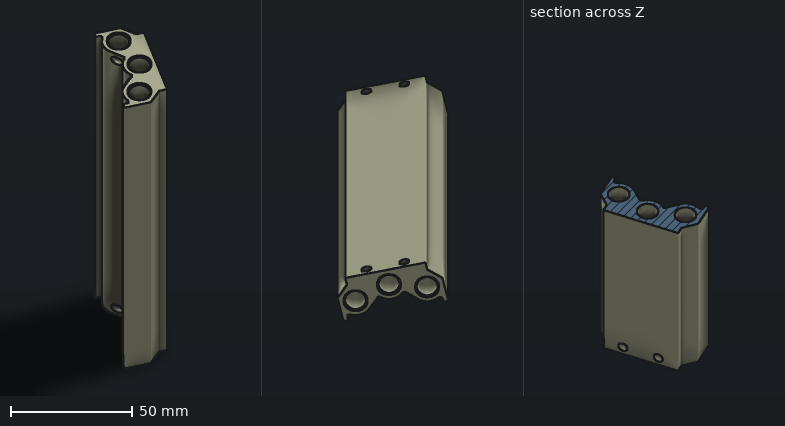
import cadquery as cq
import math

width = 44.5
depth = 20.0
length = 155.5

bore_diameter = 8.7
bore_chamfer = 0.6
wall_radius = 7.0
middle_bore_setback = 7.0
side_bore_setback = 11.5
side_bore_offset = 15.15

back_width = 34.0
back_step_depth = 3.4
slope_angle = 45.0
edge_radius = 0.5

foot_width = 2.15
relief_radius = 1.0
valley_radius = 0.65

cross_hole_diameter = 4.0
cross_hole_offset = 8.0
cross_hole_end_distance = 4.0

back_y = depth / 2
front_y = -depth / 2
middle_bore_y = back_y - middle_bore_setback
side_bore_y = back_y - side_bore_setback

step_x = back_width / 2
step_y = back_y - back_step_depth
shoulder_y = step_y - (width / 2 - step_x) * math.tan(math.radians(slope_angle))

tangent_shift = wall_radius * math.sin(math.radians(45))
tangent_x = side_bore_offset - tangent_shift
tangent_y = side_bore_y - tangent_shift

plane_sum = tangent_x + tangent_y
half_gap = (plane_sum - middle_bore_y) / 2
valley_x = half_gap + math.sqrt(wall_radius**2 / 2 - half_gap**2)
valley_y = plane_sum - valley_x

foot_inner_x = width / 2 - foot_width
relief_y = side_bore_y - math.sqrt(wall_radius**2 - (foot_inner_x - side_bore_offset)**2)


def make_half_bar():
    """Extrude the +X half of the cross-section along Z."""
    half_width = width / 2
    middle_wall_angle = math.asin(valley_x / wall_radius) / 2
    middle_wall_point = (
        wall_radius * math.sin(middle_wall_angle),
        middle_bore_y - wall_radius * math.cos(middle_wall_angle),
    )
    half = (
        cq.Workplane("XY")
        .workplane(offset=-length / 2)
        .moveTo(0, back_y)
        .lineTo(step_x, back_y)
        .lineTo(step_x, step_y)
        .lineTo(half_width, shoulder_y)
        .lineTo(half_width, front_y)
        .lineTo(foot_inner_x, front_y)
        .lineTo(foot_inner_x, relief_y)
        .threePointArc((side_bore_offset, side_bore_y - wall_radius), (tangent_x, tangent_y))
        .lineTo(valley_x, valley_y)
        .threePointArc(middle_wall_point, (0, middle_bore_y - wall_radius))
        .close()
        .extrude(length)
    )
    half = round_long_edge(half, valley_x, valley_y, valley_radius)
    half = round_long_edge(half, foot_inner_x, relief_y, relief_radius)
    outer_edges = [
        (step_x, back_y),
        (step_x, step_y),
        (half_width, shoulder_y),
        (half_width, front_y),
    ]
    for x, y in outer_edges:
        half = round_long_edge(half, x, y, edge_radius)
    return half


def round_long_edge(body, x, y, radius):
    """Fillet the lengthwise edge that passes through (x, y)."""
    return body.edges(cq.NearestToPointSelector((x, y, 0))).fillet(radius)


def make_bar():
    """Join the half bar to its mirror image."""
    half = make_half_bar()
    return half.union(half.mirror("YZ")).clean()


def make_bore(x, y):
    """Through bore with a chamfered mouth at each end."""
    radius = bore_diameter / 2
    mouth_radius = radius + bore_chamfer
    half_length = length / 2
    return (
        cq.Workplane("XZ")
        .moveTo(0, -half_length)
        .lineTo(mouth_radius, -half_length)
        .lineTo(radius, -half_length + bore_chamfer)
        .lineTo(radius, half_length - bore_chamfer)
        .lineTo(mouth_radius, half_length)
        .lineTo(0, half_length)
        .close()
        .revolve(360, (0, 0), (0, 1))
        .translate((x, y, 0))
    )


def make_cross_holes():
    """Four holes along Y, a pair near each end of the bar."""
    spacing_z = length - 2 * cross_hole_end_distance
    return (
        cq.Workplane("XZ")
        .rarray(2 * cross_hole_offset, spacing_z, 2, 2)
        .circle(cross_hole_diameter / 2)
        .extrude(depth / 2, both=True)
    )


result = make_bar()
bore_centres = [
    (-side_bore_offset, side_bore_y),
    (0, middle_bore_y),
    (side_bore_offset, side_bore_y),
]
for bore_x, bore_y in bore_centres:
    result = result.cut(make_bore(bore_x, bore_y))
result = result.cut(make_cross_holes())